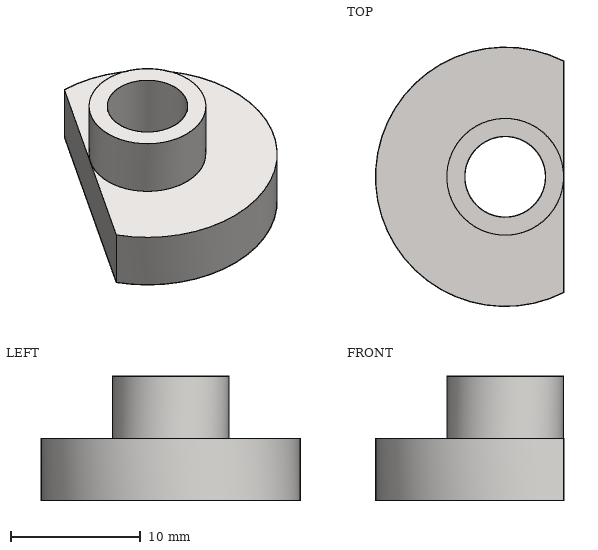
import cadquery as cq

disc_diameter = 19.98
hub_diameter = 9.0
bore_diameter = 6.2
disc_thickness = 4.8
total_height = 9.6

flat_clearance = 0.02
flat_offset = hub_diameter / 2 + flat_clearance
disc_radius = disc_diameter / 2


def make_flatted_disc():
    """Disc centred on the Z axis, cut by a flat on its +X side."""
    disc = cq.Workplane("XY").circle(disc_radius).extrude(disc_thickness)
    keep_length = disc_radius + flat_offset
    keep_block = (
        cq.Workplane("XY")
        .center(flat_offset - keep_length / 2, 0)
        .rect(keep_length, disc_diameter)
        .extrude(disc_thickness)
    )
    return disc.intersect(keep_block)


def make_hub():
    """Round hub running the full height, concentric with the disc."""
    return cq.Workplane("XY").circle(hub_diameter / 2).extrude(total_height)


def make_bore():
    """Through bore along the hub axis."""
    return cq.Workplane("XY").circle(bore_diameter / 2).extrude(total_height)


result = make_flatted_disc().union(make_hub()).cut(make_bore())